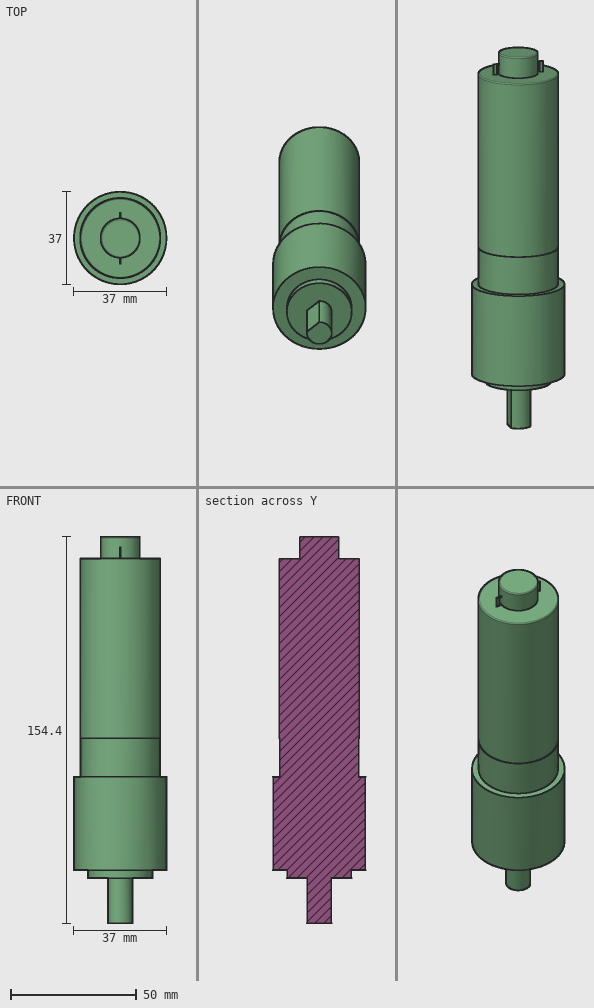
import cadquery as cq

total_length = 154.4

shaft_radius = 5.0
shaft_length = 18.0
shaft_flat_distance = 3.7

pilot_radius = 13.0
pilot_height = 3.2
gearbox_radius = 18.5
gearbox_height = 37.2

neck_radius = 15.9
neck_height = 15.5
can_radius = 16.0
can_edge_radius = 0.5
can_top = 145.8

boss_radius = 7.9
boss_edge_radius = 0.5

terminal_thickness = 0.5
terminal_width = 1.4
terminal_height = 4.3
terminal_arm_height = 0.3
terminal_outer_y = 10.2

pilot_bottom = shaft_length
gearbox_bottom = pilot_bottom + pilot_height
neck_bottom = gearbox_bottom + gearbox_height
can_bottom = neck_bottom + neck_height


def cylinder(radius, bottom, top):
    """Solid cylinder on the main axis between two heights."""
    return cq.Workplane("XY").workplane(offset=bottom).circle(radius).extrude(top - bottom)


def make_shaft():
    """Round shaft cut back to a D section by its flat."""
    shaft = cylinder(shaft_radius, 0, pilot_bottom)
    flat_cutter = (
        cq.Workplane("XY")
        .center(0, shaft_flat_distance + shaft_radius)
        .rect(2 * shaft_radius, 2 * shaft_radius)
        .extrude(shaft_length)
    )
    return shaft.cut(flat_cutter)


def make_terminal(side):
    """Thin strap that leaves the boss and bends down to the can; side is +1 or -1 along Y."""
    terminal_top = can_top + terminal_height
    terminal_inner_y = terminal_outer_y - terminal_width
    arm_bottom = terminal_top - terminal_arm_height
    outline = [
        (0, terminal_top),
        (side * terminal_outer_y, terminal_top),
        (side * terminal_outer_y, can_top),
        (side * terminal_inner_y, can_top),
        (side * terminal_inner_y, arm_bottom),
        (0, arm_bottom),
    ]
    return cq.Workplane("YZ").polyline(outline).close().extrude(terminal_thickness / 2, both=True)


pilot = cylinder(pilot_radius, pilot_bottom, gearbox_bottom)
gearbox = cylinder(gearbox_radius, gearbox_bottom, neck_bottom)
neck = cylinder(neck_radius, neck_bottom, can_bottom)
can = cylinder(can_radius, can_bottom, can_top).faces(">Z").edges().fillet(can_edge_radius)
boss = cylinder(boss_radius, can_top, total_length).faces(">Z").edges().fillet(boss_edge_radius)

result = make_shaft().union(pilot).union(gearbox).union(neck).union(can).union(boss)
for side in (-1, 1):
    result = result.union(make_terminal(side))